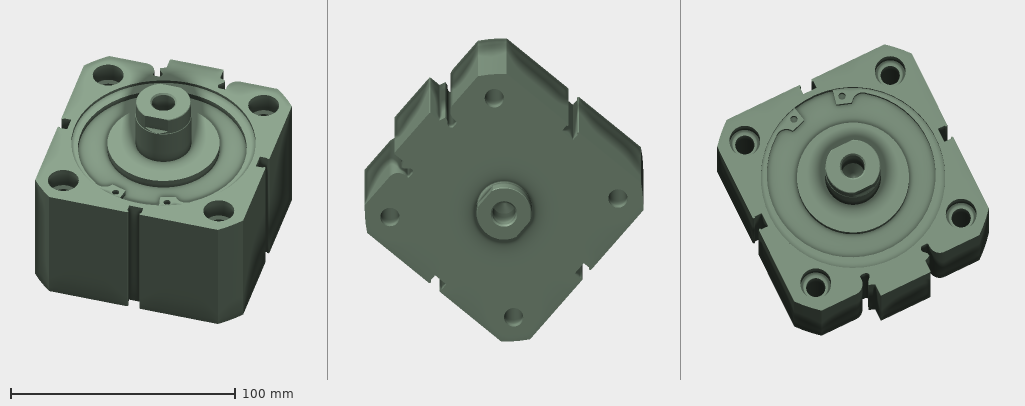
import cadquery as cq
import math


side = 96.5
half = side / 2
housing_height = 57.0
corner_radius = 62.1

rib_half_width = 12.4
overall_depth = 102.0
rib_top = overall_depth - half
rib_edge_radius = 0.5
rib_foot_y = 48.0
flare_tip = (15.1, 46.9)
flare_heel = (14.7, 45.5)
channel_floor_y = 41.4
channel_outer_x = 16.9
channel_round = 1.5
channel_fillet = 0.8
shoulder_radius = 5.0
channel_inner_x = 12.9

groove_depth = 4.5
groove_half_width = 3.3
mouth_half_width = 2.7
lip_depth = 1.0
mouth_chamfer = 0.4

hole_spacing = 72.1
hole_diameter = 8.6
counterbore_diameter = 13.8
counterbore_depth = 9.2

bore_radius = 41.1
boss_radius = 25.0
boss_height = 4.0
cover_thickness = 10.2
flange_top = housing_height - boss_height
bore_floor = flange_top - cover_thickness

ring_thickness = 2.5
ring_inner_radius = 37.6
ring_offset = 1.8
lug_start = (22.4, -32.0)
lug_hollow = (18.6, -33.6)
lug_tip = (14.7, -31.0)
lug_corner = (8.0, -33.3)
lug_end_x = 9.4
eye_x = 11.9
eye_y = -35.6
eye_diameter = 3.2

rod_radius = 12.4
neck_radius = 12.2
neck_length = 8.2
upper_reach = 25.0
lower_reach = 10.0
rod_top = housing_height + upper_reach
rod_bottom = -lower_reach
rod_middle = (rod_top + rod_bottom) / 2
rod_edge_chamfer = 0.3
flat_half_width = 11.0
flat_length = 6.8
tap_radius = 5.2
tap_mouth_radius = 5.9
tap_depth = 18.4
drill_half_angle = 59.0


def mirrored_x(point):
    return (-point[0], point[1])


def on_circle(center, radius, degrees):
    angle = math.radians(degrees)
    return (center[0] + radius * math.cos(angle), center[1] + radius * math.sin(angle))


def on_bore(x):
    """Point of the bore circle on the -Y side."""
    return (x, -math.sqrt(bore_radius**2 - x**2))


def disc(radius, bottom, height):
    return cq.Workplane("XY").workplane(offset=bottom).circle(radius).extrude(height)


def rib_channel():
    """Undercut channel beside the rib, on the +X side, open above the +Y face."""
    round_center = (channel_inner_x + channel_round, channel_floor_y + channel_round)
    fillet_center = (channel_outer_x - channel_fillet, channel_floor_y + channel_fillet)
    shoulder_center = (channel_outer_x + shoulder_radius, half - shoulder_radius)
    return (
        cq.Workplane("XY")
        .moveTo(rib_half_width, rib_top)
        .lineTo(rib_half_width, rib_foot_y)
        .lineTo(*flare_tip)
        .lineTo(*flare_heel)
        .lineTo(*on_circle(round_center, channel_round, 135))
        .threePointArc(
            on_circle(round_center, channel_round, 202.5),
            on_circle(round_center, channel_round, 270),
        )
        .lineTo(*on_circle(fillet_center, channel_fillet, 270))
        .threePointArc(
            on_circle(fillet_center, channel_fillet, 315),
            on_circle(fillet_center, channel_fillet, 360),
        )
        .lineTo(*on_circle(shoulder_center, shoulder_radius, 180))
        .threePointArc(
            on_circle(shoulder_center, shoulder_radius, 135),
            on_circle(shoulder_center, shoulder_radius, 90),
        )
        .lineTo(shoulder_center[0], rib_top)
        .close()
        .extrude(housing_height)
    )


def sensor_groove():
    """T-shaped groove along the -Y face."""
    edge = mouth_half_width + mouth_chamfer
    right_side = [
        (edge, -half),
        (mouth_half_width, -half + mouth_chamfer),
        (mouth_half_width, -half + lip_depth),
        (groove_half_width, -half + lip_depth),
        (groove_half_width, -half + groove_depth),
    ]
    left_side = [mirrored_x(point) for point in reversed(right_side)]
    return cq.Workplane("XY").polyline(right_side + left_side).close().extrude(housing_height)


def make_housing():
    body = cq.Workplane("XY").rect(side, side).extrude(housing_height)
    body = body.intersect(disc(corner_radius, 0, housing_height))

    rib_height = rib_top - channel_floor_y
    rib = (
        cq.Workplane("XY")
        .center(0, channel_floor_y + rib_height / 2)
        .rect(2 * rib_half_width, rib_height)
        .extrude(housing_height)
        .edges("|Z and >Y")
        .fillet(rib_edge_radius)
    )
    channel = rib_channel()
    body = body.union(rib).cut(channel).cut(channel.mirror("YZ"))

    for angle in (-90, 0, 90):
        body = body.cut(sensor_groove().rotate((0, 0, 0), (0, 0, 1), angle))

    body = (
        body.faces(">Z")
        .workplane(origin=(0, 0, housing_height))
        .rect(hole_spacing, hole_spacing, forConstruction=True)
        .vertices()
        .cboreHole(hole_diameter, counterbore_diameter, counterbore_depth)
    )
    body = body.cut(disc(bore_radius, bore_floor, housing_height - bore_floor))
    return body.cut(disc(rod_radius, 0, bore_floor))


def make_cover():
    flange = disc(bore_radius, bore_floor, cover_thickness)
    boss = disc(boss_radius, flange_top, boss_height)
    return flange.union(boss).cut(disc(rod_radius, bore_floor, cover_thickness + boss_height))


def make_retaining_ring():
    ring = (
        cq.Workplane("XY")
        .workplane(offset=flange_top)
        .moveTo(*on_bore(lug_end_x))
        .lineTo(*lug_corner)
        .lineTo(*lug_tip)
        .threePointArc(lug_hollow, lug_start)
        .threePointArc((0, ring_inner_radius - ring_offset), mirrored_x(lug_start))
        .threePointArc(mirrored_x(lug_hollow), mirrored_x(lug_tip))
        .lineTo(*mirrored_x(lug_corner))
        .lineTo(*on_bore(-lug_end_x))
        .threePointArc((0, bore_radius), on_bore(lug_end_x))
        .close()
        .extrude(ring_thickness)
    )
    eyes = (
        cq.Workplane("XY")
        .workplane(offset=flange_top)
        .pushPoints([(eye_x, eye_y), (-eye_x, eye_y)])
        .circle(eye_diameter / 2)
        .extrude(ring_thickness)
    )
    return ring.cut(eyes)


def wrench_flat():
    """Cutter for the flat on the +Y side of the upper rod end, with a 45 degree run-out."""
    flat_bottom = rod_top - flat_length
    run_out = rod_radius - flat_half_width
    profile = [
        (flat_half_width, rod_top),
        (flat_half_width, flat_bottom),
        (rod_radius, flat_bottom - run_out),
        (rod_radius, rod_top),
    ]
    return cq.Workplane("YZ").polyline(profile).close().extrude(rod_radius, both=True)


def tapped_hole():
    """Drilled hole in the upper rod end, with a countersunk mouth and a conical bottom."""
    hole_floor = rod_top - tap_depth
    cone_tip = hole_floor - tap_radius / math.tan(math.radians(drill_half_angle))
    mouth_bottom = rod_top - (tap_mouth_radius - tap_radius)
    profile = [
        (0, rod_top),
        (tap_mouth_radius, rod_top),
        (tap_radius, mouth_bottom),
        (tap_radius, hole_floor),
        (0, cone_tip),
    ]
    return cq.Workplane("XZ").polyline(profile).close().revolve(360, (0, 0), (0, 1))


def make_rod():
    """Rod with two identical ends, mirrored about its middle."""
    step = rod_radius - neck_radius
    half_profile = [
        (0, rod_middle),
        (rod_radius, rod_middle),
        (rod_radius, rod_top - neck_length - step),
        (neck_radius, rod_top - neck_length),
        (neck_radius, rod_top - rod_edge_chamfer),
        (neck_radius - rod_edge_chamfer, rod_top),
        (0, rod_top),
    ]
    upper = cq.Workplane("XZ").polyline(half_profile).close().revolve(360, (0, 0), (0, 1))
    flat = wrench_flat()
    upper = upper.cut(flat).cut(flat.mirror("XZ")).cut(tapped_hole())
    lower = upper.mirror("XY", (0, 0, rod_middle))
    return upper.union(lower)


housing = make_housing()
cover = make_cover()
retaining_ring = make_retaining_ring()
rod = make_rod()

result = cq.Compound.makeCompound([housing.val(), cover.val(), retaining_ring.val(), rod.val()])